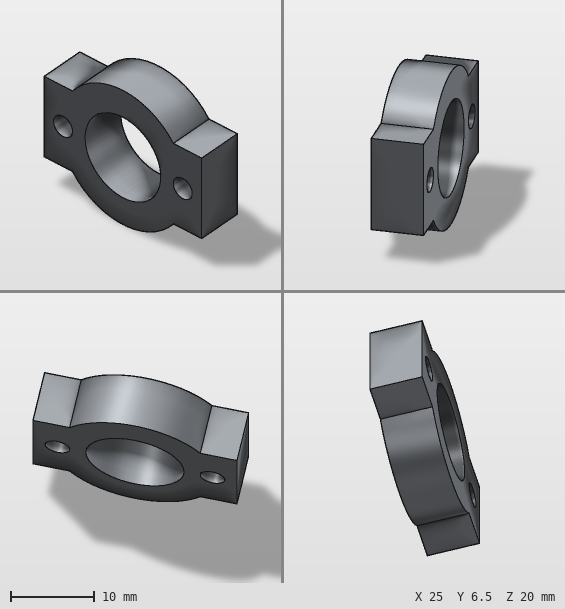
import cadquery as cq

length = 25.0
thickness = 6.5
ring_diameter = 20.0
bore_diameter = 12.0
lug_height = 12.0
bolt_diameter = 3.0
bolt_spacing = 19.0

profile = cq.Workplane("XZ")


def centred_cylinder(diameter):
    return profile.circle(diameter / 2).extrude(thickness / 2, both=True)


ring = centred_cylinder(ring_diameter)
lugs = profile.rect(length, lug_height).extrude(thickness / 2, both=True)
body = ring.union(lugs)

body = body.cut(centred_cylinder(bore_diameter))

for side in (-1, 1):
    bolt_hole = centred_cylinder(bolt_diameter).translate((side * bolt_spacing / 2, 0, 0))
    body = body.cut(bolt_hole)

result = body